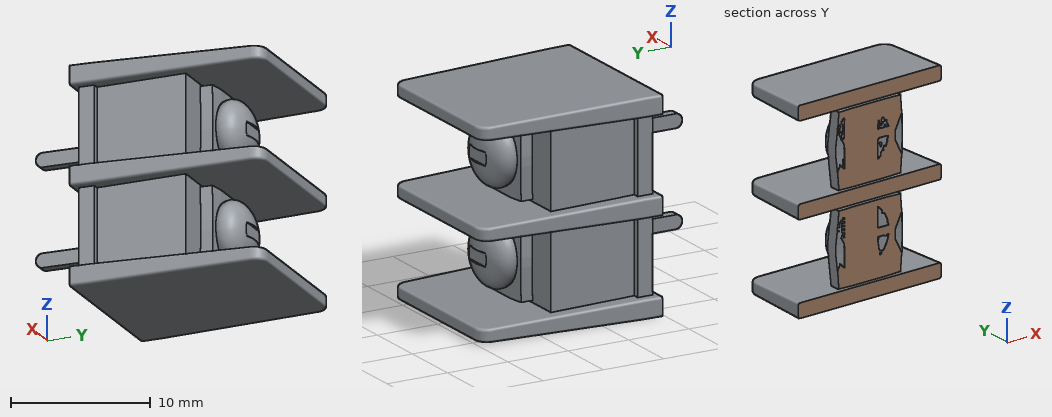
import cadquery as cq
import math


pole_count = 2
pole_pitch = 7.62
divider_thickness = 1.5
divider_width = 13.5
divider_length = 14.8
divider_base_length = 1.6
face_taper = 1.1
side_taper = 1.75
divider_corner_radius = 1.0
divider_edge_radius = 0.2

housing_front = 0.38
housing_rear = 8.5
flange_width = 11.9
wall_step = 0.5

pin_width = 0.8
pin_height = 1.1
pin_reach = 5.3

clamp_thickness = 1.09
clamp_half_length = 3.02
clamp_half_height = 3.05
clamp_flat_half_length = 1.5
clamp_end_half_height = 3.02
clamp_flat_half_height = 0.36
clamp_bend = 0.15
clamp_end_setback = 0.2

head_radius = 2.61
head_crown = 1.55
head_centre = 10.05
slot_width = 1.03
slot_floor = 11.42

clamp_rear = housing_rear + clamp_thickness
divider_levels = [pole_pitch * (i - pole_count / 2) for i in range(pole_count + 1)]
pole_levels = [pole_pitch * (i - (pole_count - 1) / 2) for i in range(pole_count)]


def make_divider():
    """Plate that narrows and thins towards its rounded rear end."""
    half_width = divider_width / 2
    tip_half_width = half_width - divider_length * math.tan(math.radians(side_taper))
    outline = (
        cq.Workplane("XY")
        .polyline([
            (-half_width, 0),
            (half_width, 0),
            (tip_half_width, divider_length),
            (-tip_half_width, divider_length),
        ])
        .close()
        .extrude(divider_thickness / 2, both=True)
        .edges("|Z and >Y")
        .fillet(divider_corner_radius)
    )
    half_thickness = divider_thickness / 2
    tapered_length = divider_length - divider_base_length
    tip_half_thickness = half_thickness - tapered_length * math.tan(math.radians(face_taper))
    profile = (
        cq.Workplane("YZ")
        .polyline([
            (0, -half_thickness),
            (divider_base_length, -half_thickness),
            (divider_length, -tip_half_thickness),
            (divider_length, tip_half_thickness),
            (divider_base_length, half_thickness),
            (0, half_thickness),
        ])
        .close()
        .extrude(divider_width, both=True)
    )
    plate = outline.intersect(profile)
    tip_edges = plate.faces(">Y").edges("|X")
    return plate.edges("not(|Z or |X)").add(tip_edges).fillet(divider_edge_radius)


def make_housing():
    """Solid housing across all poles, with a wider flange at the front."""
    height = pole_count * pole_pitch
    centring = (True, False, True)
    core = cq.Workplane("XY").box(
        flange_width - 2 * wall_step, housing_rear - housing_front, height, centered=centring
    )
    flange = cq.Workplane("XY").box(
        flange_width, divider_base_length - housing_front, height, centered=centring
    )
    return core.union(flange).translate((0, housing_front, 0))


def make_pin():
    """Flat pin with a fully rounded tip, rooted in the housing."""
    tip_radius = pin_height / 2
    round_start = tip_radius - pin_reach
    return (
        cq.Workplane("YZ")
        .moveTo(housing_front, -tip_radius)
        .lineTo(round_start, -tip_radius)
        .threePointArc((-pin_reach, 0), (round_start, tip_radius))
        .lineTo(housing_front, tip_radius)
        .close()
        .extrude(pin_width / 2, both=True)
    )


def clamp_section(half_height, bend):
    """Section points (Y, Z): the flat strip stands further from the housing than the corners by bend."""
    upper = [
        (housing_rear + bend, clamp_flat_half_height),
        (housing_rear, half_height),
        (clamp_rear - bend, half_height),
        (clamp_rear, clamp_flat_half_height),
    ]
    return upper + [(y, -z) for y, z in reversed(upper)]


def make_clamp():
    """Plate that is flat across its middle and bends towards the housing at its four corners."""
    middle = (
        cq.Workplane("YZ")
        .polyline(clamp_section(clamp_half_height, 0))
        .close()
        .extrude(clamp_flat_half_length, both=True)
    )
    bent_end = (
        cq.Workplane("YZ", origin=(clamp_flat_half_length, 0, 0))
        .polyline(clamp_section(clamp_half_height, 0))
        .close()
        .workplane(offset=clamp_half_length - clamp_flat_half_length)
        .polyline(clamp_section(clamp_end_half_height, clamp_bend))
        .close()
        .loft(ruled=True)
    )
    plate = middle.union(bent_end).union(bent_end.mirror("YZ"))
    corner_x = clamp_half_length - clamp_end_setback
    quadrant = [(corner_x, clamp_half_height), (clamp_half_length, clamp_flat_half_height)]
    right = quadrant + [(x, -z) for x, z in reversed(quadrant)]
    left = [(-x, z) for x, z in reversed(right)]
    plan = cq.Workplane("XZ").polyline(right + left).close().extrude(-clamp_rear)
    return plate.intersect(plan)


def make_screw_head():
    """Elliptical dome standing on the clamp plate, with a straight driver slot along X."""
    seat_drop = head_centre - clamp_rear
    crown = head_centre + head_crown
    seat_radius = head_radius * math.sqrt(1 - (seat_drop / head_crown) ** 2)
    lower_angle = math.degrees(math.asin(-seat_drop / head_crown))
    dome = (
        cq.Workplane("XY")
        .moveTo(0, clamp_rear)
        .lineTo(seat_radius, clamp_rear)
        .ellipseArc(head_radius, head_crown, lower_angle, 90, startAtCurrent=True)
        .close()
        .revolve(360, (0, 0, 0), (0, 1, 0))
    )
    slot = (
        cq.Workplane("XY")
        .box(2 * head_radius, crown - slot_floor, slot_width, centered=(True, False, True))
        .translate((0, slot_floor, 0))
    )
    return dome.cut(slot)


result = make_housing()
divider = make_divider()
for level in divider_levels:
    result = result.union(divider.translate((0, 0, level)))

pole_parts = [make_pin(), make_clamp(), make_screw_head()]
for level in pole_levels:
    for part in pole_parts:
        result = result.union(part.translate((0, 0, level)))